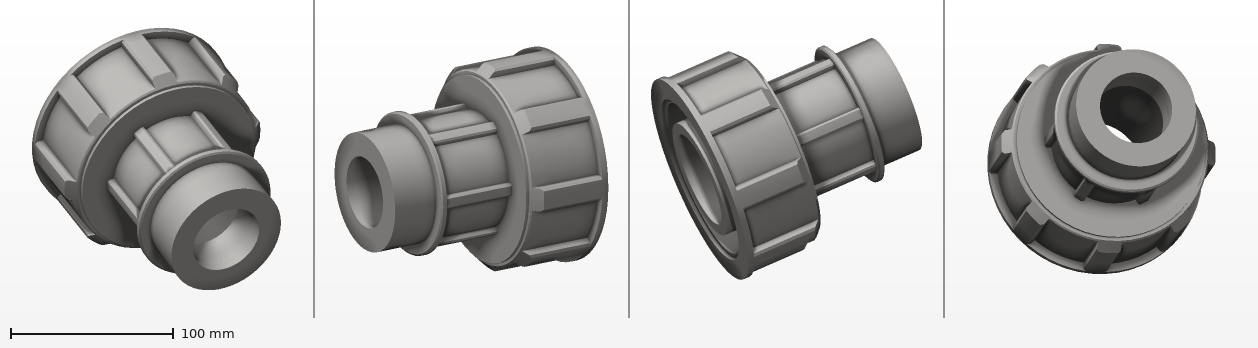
import cadquery as cq
import math

LENGTH = 134.0

NUT_RADIUS = 67.0
NUT_CHAMFER_START = 45.5
NUT_END = 51.6
NUT_END_RADIUS = NUT_RADIUS - (NUT_END - NUT_CHAMFER_START)

RIM_WIDTH = 4.2
POCKET_FLOOR_RADIUS = 61.9
GRIP_RIB_COUNT = 8
GRIP_RIB_WIDTH = 15.0
GRIP_RIB_CHAMFER = 1.5
POCKET_OVERRUN = 1.3

COLLAR_RADIUS = 59.0
COLLAR_END = 53.6

PIPE_RADIUS = 37.5
FLANGE_START = 100.8
FLANGE_END = 105.0
FLANGE_RADIUS = 90.2 / 2
FLANGE_EDGE_RADIUS = 87.8 / 2
FLANGE_CHAMFER_WIDTH = 0.8

PIPE_RIB_COUNT = 6
PIPE_RIB_RADIUS = 41.5
PIPE_RIB_WIDTH = 7.8
PIPE_RIB_CHAMFER = 1.1

MOUTH_RADIUS = 53.6
MOUTH_DEPTH = 2.3
SOCKET_RADIUS = 50.2
SOCKET_DEPTH = 28.8

BORE_WIDE_RADIUS = 60.2 / 2
BORE_NARROW_RADIUS = 45.2 / 2


def turned(profile):
    """Revolve a closed outline of (x, radius) points about the X axis."""
    return cq.Workplane("XY").polyline(profile).close().revolve(360, (0, 0, 0), (1, 0, 0))


def disc(start, end, radius):
    """Solid cylinder along X."""
    return cq.Workplane("YZ", origin=(start, 0, 0)).circle(radius).extrude(end - start)


def pipe_ribs():
    """Ribs with chamfered outer edges, running from the collar to the flange."""
    half_width = PIPE_RIB_WIDTH / 2
    edge_width = half_width - PIPE_RIB_CHAMFER
    edge_height = math.sqrt(PIPE_RIB_RADIUS**2 - edge_width**2)
    shoulder_height = edge_height - PIPE_RIB_CHAMFER
    outline = (
        cq.Workplane("YZ", origin=(COLLAR_END, 0, 0))
        .moveTo(-half_width, 0)
        .lineTo(-half_width, shoulder_height)
        .lineTo(-edge_width, edge_height)
        .threePointArc((0, PIPE_RIB_RADIUS), (edge_width, edge_height))
        .lineTo(half_width, shoulder_height)
        .lineTo(half_width, 0)
        .close()
    )
    first_rib = outline.extrude(FLANGE_START - COLLAR_END).rotate((0, 0, 0), (1, 0, 0), 90)
    group = first_rib
    for index in range(1, PIPE_RIB_COUNT):
        group = group.union(first_rib.rotate((0, 0, 0), (1, 0, 0), index * 360 / PIPE_RIB_COUNT))
    return group


def grip_pocket():
    """Pocket between two neighbouring grip ribs; its ribs stand at -half and +half a pitch from +Y."""
    half_pitch = math.pi / GRIP_RIB_COUNT
    half_width = GRIP_RIB_WIDTH / 2
    edge_width = half_width - GRIP_RIB_CHAMFER
    edge_height = math.sqrt(NUT_RADIUS**2 - edge_width**2)
    foot_height = math.sqrt(POCKET_FLOOR_RADIUS**2 - half_width**2)

    def beside_rib(side, offset, height):
        """Point given by its sideways offset from a rib's centre line and its height along that line."""
        across = math.sin(half_pitch) * height - math.cos(half_pitch) * offset
        outward = math.cos(half_pitch) * height + math.sin(half_pitch) * offset
        return side * across, outward

    def rib_flank(side):
        """Foot, shoulder and chamfered edge of a rib, then a point outside the nut."""
        return [
            beside_rib(side, half_width, foot_height),
            beside_rib(side, half_width, edge_height - GRIP_RIB_CHAMFER),
            beside_rib(side, edge_width - POCKET_OVERRUN, edge_height + POCKET_OVERRUN),
        ]

    left_foot, left_shoulder, left_outside = rib_flank(-1)
    right_foot, right_shoulder, right_outside = rib_flank(1)
    return (
        cq.Workplane("YZ", origin=(RIM_WIDTH, 0, 0))
        .moveTo(*left_foot)
        .threePointArc((0, POCKET_FLOOR_RADIUS), right_foot)
        .lineTo(*right_shoulder)
        .lineTo(*right_outside)
        .threePointArc((0, math.hypot(*right_outside)), left_outside)
        .lineTo(*left_shoulder)
        .close()
        .extrude(NUT_END + POCKET_OVERRUN - RIM_WIDTH)
    )


def union_nut():
    nut = turned(
        [
            (0, 0),
            (0, NUT_RADIUS),
            (NUT_CHAMFER_START, NUT_RADIUS),
            (NUT_END, NUT_END_RADIUS),
            (NUT_END, 0),
        ]
    )
    pocket = grip_pocket()
    pitch = 360 / GRIP_RIB_COUNT
    for index in range(GRIP_RIB_COUNT):
        nut = nut.cut(pocket.rotate((0, 0, 0), (1, 0, 0), (index + 0.5) * pitch))
    return nut


def tail_pipe():
    pipe = disc(0, LENGTH, PIPE_RADIUS)
    flange = turned(
        [
            (FLANGE_START, 0),
            (FLANGE_START, FLANGE_EDGE_RADIUS),
            (FLANGE_START + FLANGE_CHAMFER_WIDTH, FLANGE_RADIUS),
            (FLANGE_END - FLANGE_CHAMFER_WIDTH, FLANGE_RADIUS),
            (FLANGE_END, FLANGE_EDGE_RADIUS),
            (FLANGE_END, 0),
        ]
    )
    return pipe.union(pipe_ribs()).union(flange)


def socket():
    return disc(0, MOUTH_DEPTH, MOUTH_RADIUS).union(disc(0, SOCKET_DEPTH, SOCKET_RADIUS))


def bore():
    return turned(
        [
            (0, 0),
            (0, BORE_WIDE_RADIUS),
            (FLANGE_START, BORE_WIDE_RADIUS),
            (FLANGE_END, BORE_NARROW_RADIUS),
            (LENGTH, BORE_NARROW_RADIUS),
            (LENGTH, 0),
        ]
    )


collar = disc(NUT_END, COLLAR_END, COLLAR_RADIUS)
result = union_nut().union(collar).cut(socket()).union(tail_pipe()).cut(bore())